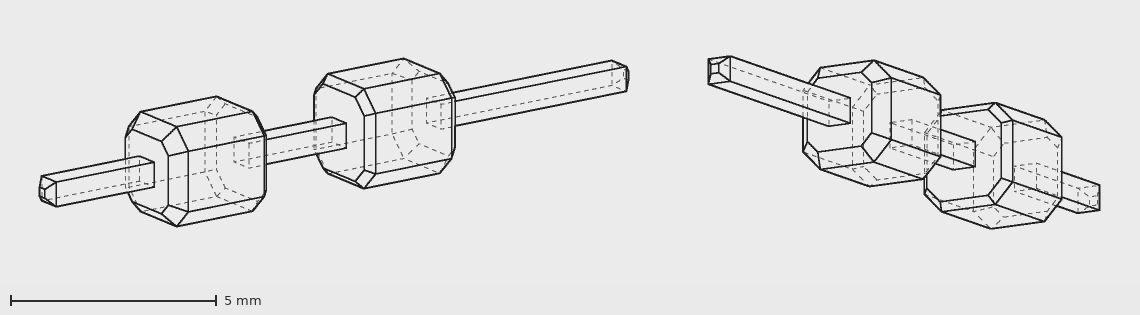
import cadquery as cq

pin_length = 17.3
pin_width = 0.63
tip_chamfer = 0.2

body_width = 2.54
body_length = 2.8
corner_chamfer = 0.5
outer_chamfer = 0.35
inner_chamfer = 0.2

front_tail = 3.1
body_gap = 2.9

front_body_center = -pin_length / 2 + front_tail + body_length / 2
rear_body_center = front_body_center + body_length + body_gap


def make_pin():
    """Square pin with a chamfered tip at each end."""
    pin = cq.Workplane("XY").box(pin_width, pin_length, pin_width)
    return pin.faces("<Y or >Y").chamfer(tip_chamfer)


def make_body(center_y, outer_end, inner_end):
    """Octagonal body; the end selectors choose the deep and shallow rims."""
    body = cq.Workplane("XY").box(body_width, body_length, body_width)
    body = body.edges("|Y").chamfer(corner_chamfer)
    body = body.faces(outer_end).chamfer(outer_chamfer)
    body = body.faces(inner_end).chamfer(inner_chamfer)
    return body.translate((0, center_y, 0))


front_body = make_body(front_body_center, outer_end="<Y", inner_end=">Y")
rear_body = make_body(rear_body_center, outer_end=">Y", inner_end="<Y")

result = make_pin().union(front_body).union(rear_body)